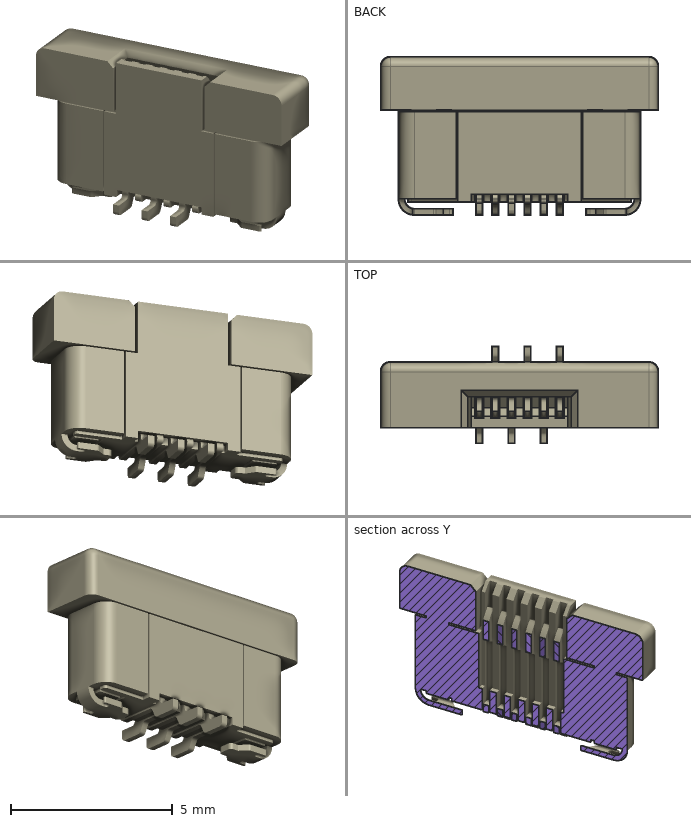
import cadquery as cq
import math

cap_width = 8.6
height = 4.9
depth = 2.05
half_depth = depth / 2
cap_bottom = 3.25
cap_round = 0.3
gap = 0.05
base_top = cap_bottom - gap
base_bottom = 0.4

shell_half_width = 3.75
shell_bottom = 0.5
shell_round = 0.5
core_half_width = 3.46
core_half_depth = 0.72
core_round = 0.1
panel_half_width = 1.91
groove_width = 0.05

post_half_depth = 0.38
post_outer = 3.36
post_inner = 2.56
post_clearance = 0.1
boss_half_width = 2.11
boss_back = 0.45

tongue_half_width = 1.5
opening_half_width = 1.6
slot_back = -0.06
slot_front = -0.4
slot_floor = 1.2
entry_chamfer = 0.2
tongue_chamfer = 0.26

tab_thickness = 0.2
neck_half_width = 0.275
pad_half_width = 0.54
ear_width = 0.11
ear_tip = 3.31
ear_root = 3.01
taper_end = 2.36
taper_round = 0.1
pad_end = 2.055
pad_end_round = 0.12

contact_count = 6
pitch = 0.5
contact_width = 0.21
channel_width = 0.26
feet_span = 3.0
foot_reach = feet_span / 2
foot_height = 0.36
foot_heel = 0.66
undercut = 0.19
foot_round = 0.13
bar_reach = 0.895
stub_reach = 1.0
bar_top = 0.645
bar_round = 0.12
beam_front = -0.705
beam_back = -0.51
bump_start = 2.84
nose_edge = -0.12
nose_peak = -0.08
nose_bottom = 3.1
nose_top = 3.53
tip_height = 4.07
tip_drop = 0.11

shortest_side = 0.0001


def box(x0, x1, y0, y1, z0, z1):
    """Block between two opposite corners."""
    return cq.Workplane("XY").box(x1 - x0, y1 - y0, z1 - z0, centered=False).translate((x0, y0, z0))


def rounded_outline(plane, corners):
    """Closed outline through corners (u, v, radius), with an arc at each corner that has a radius."""
    ends = []
    for i, (u, v, radius) in enumerate(corners):
        here = cq.Vector(u, v)
        back = (cq.Vector(*corners[i - 1][:2]) - here).normalized()
        ahead = (cq.Vector(*corners[(i + 1) % len(corners)][:2]) - here).normalized()
        if radius == 0:
            ends.append((here, None, here))
            continue
        half_angle = back.getAngle(ahead) / 2
        tangent = radius / math.tan(half_angle)
        corner_gap = radius / math.sin(half_angle) - radius
        middle = here + (back + ahead).normalized() * corner_gap
        ends.append((here + back * tangent, middle, here + ahead * tangent))
    outline = cq.Workplane(plane).moveTo(*ends[0][2].toTuple()[:2])
    last_end = ends[0][2]
    for start, middle, end in ends[1:] + ends[:1]:
        if (start - last_end).Length > shortest_side:
            outline = outline.lineTo(*start.toTuple()[:2])
        last_end = end
        if middle is not None:
            outline = outline.threePointArc(middle.toTuple()[:2], end.toTuple()[:2])
    return outline.close()


def make_cap():
    """Cap with rounded ends and back, and a chamfered opening in its front."""
    cap = box(-cap_width / 2, cap_width / 2, -half_depth, half_depth, cap_bottom, height)
    cap = cap.edges("(>Z or |Z) and (not <Y)").fillet(cap_round)
    cap = cap.cut(box(-opening_half_width, opening_half_width, -half_depth, slot_back, cap_bottom, height))
    mouth_half_width = opening_half_width + entry_chamfer
    entry = (
        cq.Workplane("XZ", origin=(0, slot_back + entry_chamfer, 0))
        .polyline([
            (-mouth_half_width, height),
            (mouth_half_width, height),
            (opening_half_width, height - entry_chamfer),
            (-opening_half_width, height - entry_chamfer),
        ])
        .close()
        .extrude(depth)
    )
    back_slope = (
        cq.Workplane("YZ")
        .polyline([
            (-depth, height),
            (slot_back + entry_chamfer, height),
            (slot_back, height - entry_chamfer),
            (-depth, height - entry_chamfer),
        ])
        .close()
        .extrude(mouth_half_width, both=True)
    )
    return cap.cut(entry.intersect(back_slope))


def make_base():
    """Core with a full-depth middle panel, wrapped by a shell at each end."""
    core = box(-core_half_width, core_half_width, -core_half_depth, core_half_depth, base_bottom, base_top)
    core = core.edges("|Z").fillet(core_round)
    panel = box(-panel_half_width, panel_half_width, -half_depth, half_depth, base_bottom, base_top)
    shell_end = panel_half_width + groove_width
    shells = box(-shell_half_width, shell_half_width, -half_depth, half_depth, shell_bottom, base_top)
    shells = shells.edges("|Z").fillet(shell_round)
    shells = shells.cut(box(-shell_end, shell_end, -half_depth, half_depth, shell_bottom, base_top))
    base = core.union(panel).union(shells)
    for side in (-1, 1):
        base = base.cut(post_recess(side))
    return base


def post_recess(side):
    """Recess in the core's underside, open at the end, that leaves the post foot standing in it."""
    recess_half_depth = post_half_depth + post_clearance
    recess_inner = post_inner - post_clearance
    recess = box(
        recess_inner, core_half_width, -recess_half_depth, recess_half_depth, base_bottom, shell_bottom
    )
    foot = box(post_inner, post_outer, -post_half_depth, post_half_depth, base_bottom, shell_bottom)
    recess = recess.cut(foot)
    return recess if side > 0 else recess.mirror("YZ")


def make_links():
    """Boss, posts and tongue that join the cap to the base."""
    links = box(-boss_half_width, boss_half_width, slot_back, boss_back, base_top, cap_bottom)
    for inner, outer in ((-post_outer, -post_inner), (post_inner, post_outer)):
        links = links.union(box(inner, outer, -post_half_depth, post_half_depth, base_top, cap_bottom))
    tongue = (
        cq.Workplane("YZ")
        .polyline([
            (-half_depth, base_top),
            (slot_front, base_top),
            (slot_front, height - tongue_chamfer),
            (slot_front - tongue_chamfer, height),
            (-half_depth, height),
        ])
        .close()
        .extrude(tongue_half_width, both=True)
    )
    return links.union(tongue)


def make_tab():
    """Hold-down tab at the -X end: a bend under the shell and a flat pad with two ears."""
    bend_center = -shell_half_width + shell_bottom
    bend_inner = shell_bottom - tab_thickness
    slant = math.sqrt(0.5)
    bend = (
        cq.Workplane("XZ")
        .moveTo(-shell_half_width, shell_bottom)
        .threePointArc(
            (bend_center - shell_bottom * slant, shell_bottom - shell_bottom * slant), (bend_center, 0)
        )
        .lineTo(bend_center, tab_thickness)
        .threePointArc(
            (bend_center - bend_inner * slant, shell_bottom - bend_inner * slant),
            (bend_center - bend_inner, shell_bottom),
        )
        .close()
        .extrude(neck_half_width, both=True)
    )
    ear_inside = pad_half_width - ear_width
    ear_tip_round = ear_width / 2
    ear_root_round = (ear_inside - neck_half_width) / 2
    taper_start = taper_end + pad_half_width - neck_half_width
    half_outline = [
        (bend_center, neck_half_width, 0),
        (-ear_root, neck_half_width, ear_root_round),
        (-ear_root, ear_inside, ear_root_round),
        (-ear_tip, ear_inside, ear_tip_round),
        (-ear_tip, pad_half_width, ear_tip_round),
        (-taper_start, pad_half_width, taper_round),
        (-taper_end, neck_half_width, 0),
        (-pad_end, neck_half_width, pad_end_round),
    ]
    other_half = [(x, -y, radius) for x, y, radius in reversed(half_outline)]
    pad = rounded_outline("XY", half_outline + other_half).extrude(tab_thickness)
    return bend.union(pad)


def contact_places():
    """X position of each contact with the side its foot points to (-1 front, 1 back)."""
    first = -pitch * (contact_count - 1) / 2
    return [(first + i * pitch, -1 if i % 2 == 0 else 1) for i in range(contact_count)]


def cut_openings(body):
    """Cable slot, contact channels and the notches where the contact feet leave."""
    body = body.cut(box(-tongue_half_width, tongue_half_width, slot_front, slot_back, slot_floor, cap_bottom))
    for y0, y1 in ((-half_depth, -core_half_depth), (core_half_depth, half_depth)):
        body = body.cut(box(-tongue_half_width, tongue_half_width, y0, y1, base_bottom, bar_top))
    for x, _ in contact_places():
        x0 = x - channel_width / 2
        x1 = x + channel_width / 2
        body = body.cut(box(x0, x1, -core_half_depth, core_half_depth, base_bottom, bar_top))
        body = body.cut(box(x0, x1, -core_half_depth, slot_back, bar_top, height))
    return body


def make_housing():
    """Base, cap, links and both tabs as one body, with the openings cut through it."""
    left_tab = make_tab()
    housing = make_base().union(make_cap()).union(make_links())
    housing = housing.union(left_tab).union(left_tab.mirror("YZ"))
    return cut_openings(housing)


def make_contact(x, side):
    """Contact: a crossbar with a foot on one side and a spring beam ending in a bump."""
    bar_and_foot = rounded_outline("YZ", [
        (foot_reach, foot_height, 0),
        (bar_reach, foot_height, foot_round),
        (bar_reach, bar_top, bar_round),
        (-stub_reach, bar_top, bar_round),
        (-stub_reach, foot_height, foot_round),
        (foot_heel - undercut, foot_height, foot_round),
        (foot_heel, 0, foot_round),
        (foot_reach, 0, foot_round),
    ]).extrude(contact_width / 2, both=True)
    if side < 0:
        bar_and_foot = bar_and_foot.mirror("XZ")
    beam = (
        cq.Workplane("YZ")
        .moveTo(beam_front, bar_top - bar_round)
        .lineTo(beam_back, bar_top - bar_round)
        .lineTo(beam_back, bump_start)
        .lineTo(nose_edge, nose_bottom)
        .threePointArc((nose_peak, (nose_bottom + nose_top) / 2), (nose_edge, nose_top))
        .tangentArcPoint((beam_back, tip_height), relative=False)
        .lineTo(beam_front, tip_height - tip_drop)
        .close()
        .extrude(contact_width / 2, both=True)
    )
    return bar_and_foot.union(beam).translate((x, 0, 0))


housing = make_housing()
contacts = [make_contact(x, side) for x, side in contact_places()]
result = cq.Compound.makeCompound([housing.val(), *[contact.val() for contact in contacts]])